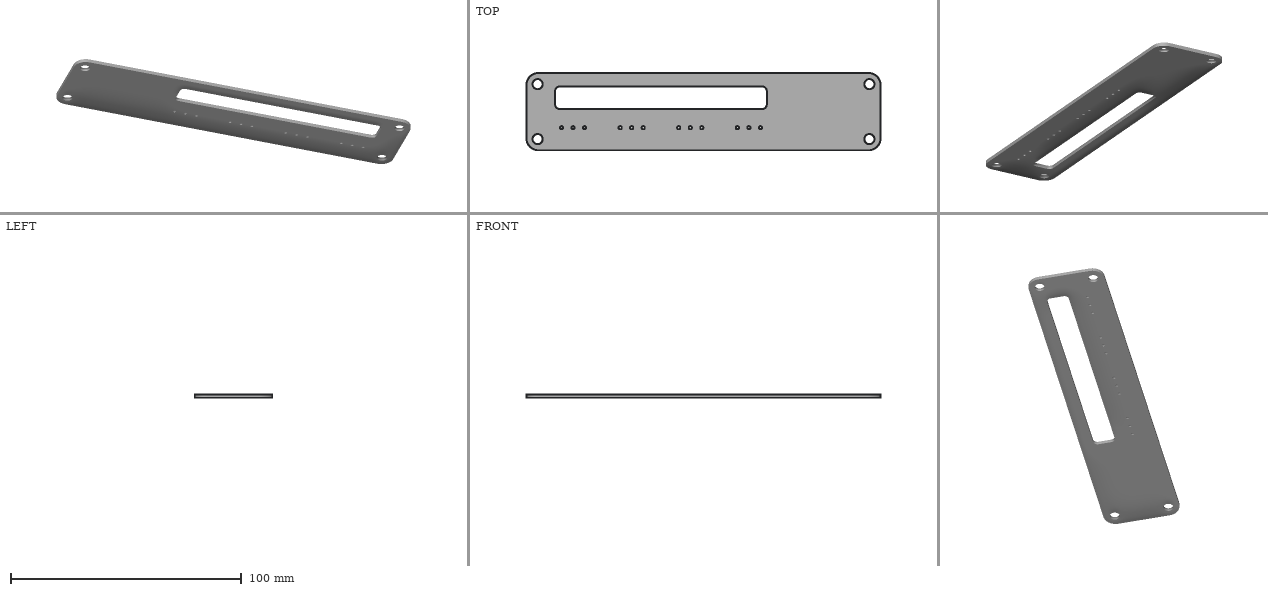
import cadquery as cq

length = 153.7
width = 33.7
thickness = 1.5
corner_radius = 5.4

mount_diameter = 4.3
mount_inset = 4.9

window_centre_x = -18.5
window_length = 91.7
window_width = 9.7
window_top_margin = 6.0
window_corner_radius = 2.0

pin_diameter = 1.3
pin_row_margin = 9.8
pins_per_group = 3
group_length = 10.0
group_count = 4
group_row_length = 76.2


def evenly_spaced(centre, span, count):
    """Positions of count points spread over span, about centre."""
    step = span / (count - 1)
    return [centre - span / 2 + i * step for i in range(count)]


def make_plate():
    plate = cq.Workplane("XY").box(length, width, thickness, centered=(True, True, False))
    return plate.edges("|Z").fillet(corner_radius)


def cut_mounting_holes(body):
    pitch_x = length - 2 * mount_inset
    pitch_y = width - 2 * mount_inset
    top = body.faces(">Z").workplane(origin=(0, 0, thickness))
    return top.rect(pitch_x, pitch_y, forConstruction=True).vertices().hole(mount_diameter)


def cut_window(body):
    centre_y = width / 2 - window_top_margin - window_width / 2
    window = (
        cq.Workplane("XY")
        .center(window_centre_x, centre_y)
        .rect(window_length, window_width)
        .extrude(thickness)
        .edges("|Z")
        .fillet(window_corner_radius)
    )
    return body.cut(window)


def cut_pin_holes(body):
    row_y = -width / 2 + pin_row_margin
    group_centres = evenly_spaced(window_centre_x, group_row_length, group_count)
    points = [
        (x, row_y)
        for centre in group_centres
        for x in evenly_spaced(centre, group_length, pins_per_group)
    ]
    top = body.faces(">Z").workplane(origin=(0, 0, thickness))
    return top.pushPoints(points).hole(pin_diameter)


result = make_plate()
result = cut_mounting_holes(result)
result = cut_window(result)
result = cut_pin_holes(result)